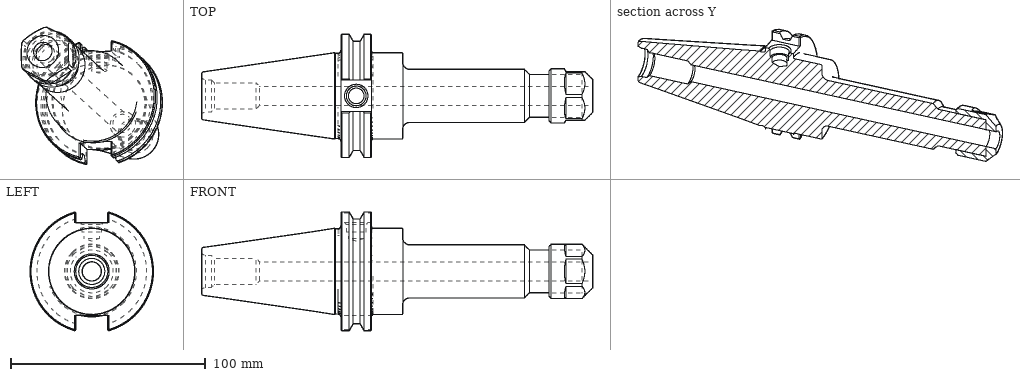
import cadquery as cq
import math

OVERALL_LENGTH = 200.85

GAUGE_DIAMETER = 44.45
TAPER_PER_LENGTH = 7 / 24
TAPER_LENGTH = 68.25
TAPER_END_FILLET = 1.2
RELIEF_DIAMETER = 43.94
RELIEF_STEP_LENGTH = 0.5
RELIEF_FILLET = 1.4
TAPER_START = -TAPER_LENGTH

FLANGE_DIAMETER = 63.5
FLANGE_START = 3.175
FLANGE_END = 19.05
FLANGE_CHAMFER = 0.6
FLANGE_CENTER = (FLANGE_START + FLANGE_END) / 2
GROOVE_DIAMETER = 56.36
GROOVE_CENTER = 11.35
GROOVE_BOTTOM_WIDTH = 3.6
GROOVE_FLANK_ANGLE = 30.0

BODY_DIAMETER = GAUGE_DIAMETER
BODY_START_FILLET = 0.7
BODY_END = 35.0
BODY_END_ROUND = 0.5
NECK_DIAMETER = 27.43
NECK_FILLET = 3.5
NECK_END = 97.4
SPINDLE_DIAMETER = 22.0

SLOT_WIDTH = 16.26
SLOT_EDGE_CHAMFER = 0.6
UPPER_SLOT_HEIGHT = 25.0
LOWER_SLOT_HEIGHT = 22.6

POCKET_MOUTH_DIAMETER = 12.0
POCKET_SEAT_DIAMETER = 10.13
POCKET_SEAT_DEPTH = 4.7
POCKET_HOLE_DIAMETER = 8.0
POCKET_HOLE_DEPTH = 8.0
DRILL_POINT_ANGLE = 140.0

BORE_MOUTH_DIAMETER = 18.0
BORE_MOUTH_DEPTH = 2.0
PILOT_BORE_DIAMETER = 16.46
PILOT_BORE_DEPTH = 5.0
THREAD_BORE_DIAMETER = 13.39
THREAD_BORE_DEPTH = 28.0
THROUGH_BORE_DIAMETER = 9.73

NUT_DIAMETER = 28.0
NUT_START = 110.0
NUT_END = OVERALL_LENGTH - TAPER_LENGTH
NUT_BACK_CHAMFER = 1.2
NUT_FACE_DIAMETER = 16.8
NUT_ACROSS_FLATS = 25.0
NUT_FLATS_START = 118.8
FLAT_RUNOUT_ANGLE = 30.0
FLAT_COUNT = 6
NUT_CONE_START = NUT_END - (NUT_DIAMETER - NUT_FACE_DIAMETER) / 2
SPINDLE_END = NUT_CONE_START

CLEARANCE = 1.0


def revolve_about_axis(profile):
    """Turn a closed (x, radius) profile about the tool axis."""
    return profile.close().revolve(360, (0, 0, 0), (1, 0, 0))


def fillet_middle(corner_x, corner_radius, fillet, x_side, radial_side):
    """Middle point of the fillet between a cylinder and a flat face.

    The sides are +1 or -1 and tell which way the arc lies from the corner.
    """
    gap = fillet * (1 - math.sqrt(0.5))
    return (corner_x + x_side * gap, corner_radius + radial_side * gap)


def make_taper():
    small_radius = GAUGE_DIAMETER / 2 - TAPER_PER_LENGTH * TAPER_LENGTH / 2
    profile = cq.Workplane("XY").polyline([
        (TAPER_START, 0),
        (TAPER_START, small_radius),
        (0, GAUGE_DIAMETER / 2),
        (0, 0),
    ])
    return revolve_about_axis(profile).faces("<X").edges().fillet(TAPER_END_FILLET)


def make_flange_and_body():
    gauge_radius = GAUGE_DIAMETER / 2
    relief_radius = RELIEF_DIAMETER / 2
    flange_radius = FLANGE_DIAMETER / 2
    groove_radius = GROOVE_DIAMETER / 2
    body_radius = BODY_DIAMETER / 2
    neck_radius = NECK_DIAMETER / 2
    spindle_radius = SPINDLE_DIAMETER / 2

    half_bottom = GROOVE_BOTTOM_WIDTH / 2
    flank_run = (flange_radius - groove_radius) * math.tan(math.radians(GROOVE_FLANK_ANGLE))
    half_top = half_bottom + flank_run

    profile = (
        cq.Workplane("XY")
        .moveTo(0, 0)
        .lineTo(0, gauge_radius)
        .lineTo(RELIEF_STEP_LENGTH, relief_radius)
        .lineTo(FLANGE_START - RELIEF_FILLET, relief_radius)
        .threePointArc(
            fillet_middle(FLANGE_START, relief_radius, RELIEF_FILLET, -1, 1),
            (FLANGE_START, relief_radius + RELIEF_FILLET),
        )
        .lineTo(FLANGE_START, flange_radius - FLANGE_CHAMFER)
        .lineTo(FLANGE_START + FLANGE_CHAMFER, flange_radius)
        .lineTo(GROOVE_CENTER - half_top, flange_radius)
        .lineTo(GROOVE_CENTER - half_bottom, groove_radius)
        .lineTo(GROOVE_CENTER + half_bottom, groove_radius)
        .lineTo(GROOVE_CENTER + half_top, flange_radius)
        .lineTo(FLANGE_END - FLANGE_CHAMFER, flange_radius)
        .lineTo(FLANGE_END, flange_radius - FLANGE_CHAMFER)
        .lineTo(FLANGE_END, body_radius + BODY_START_FILLET)
        .threePointArc(
            fillet_middle(FLANGE_END, body_radius, BODY_START_FILLET, 1, 1),
            (FLANGE_END + BODY_START_FILLET, body_radius),
        )
        .lineTo(BODY_END - BODY_END_ROUND, body_radius)
        .threePointArc(
            fillet_middle(BODY_END, body_radius, BODY_END_ROUND, -1, -1),
            (BODY_END, body_radius - BODY_END_ROUND),
        )
        .lineTo(BODY_END, neck_radius + NECK_FILLET)
        .threePointArc(
            fillet_middle(BODY_END, neck_radius, NECK_FILLET, 1, 1),
            (BODY_END + NECK_FILLET, neck_radius),
        )
        .lineTo(NECK_END, neck_radius)
        .lineTo(NECK_END + neck_radius - spindle_radius, spindle_radius)
        .lineTo(SPINDLE_END, spindle_radius)
        .lineTo(SPINDLE_END, 0)
    )
    return revolve_about_axis(profile)


def make_bore():
    mouth = BORE_MOUTH_DIAMETER / 2
    pilot = PILOT_BORE_DIAMETER / 2
    thread = THREAD_BORE_DIAMETER / 2
    through = THROUGH_BORE_DIAMETER / 2
    mouth_end = TAPER_START + BORE_MOUTH_DEPTH
    pilot_end = TAPER_START + PILOT_BORE_DEPTH
    thread_end = TAPER_START + THREAD_BORE_DEPTH
    profile = cq.Workplane("XY").polyline([
        (TAPER_START, 0),
        (TAPER_START, mouth),
        (mouth_end, pilot),
        (pilot_end, pilot),
        (pilot_end + pilot - thread, thread),
        (thread_end, thread),
        (thread_end + thread - through, through),
        (SPINDLE_END, through),
        (SPINDLE_END, 0),
    ])
    return revolve_about_axis(profile)


def make_drive_slot(floor_height):
    """Cutter for a slot across the +Z side of the flange, with its wall edges chamfered."""
    half = SLOT_WIDTH / 2
    flare = half + SLOT_EDGE_CHAMFER
    top = FLANGE_DIAMETER / 2 + CLEARANCE
    rim_corner = math.sqrt((FLANGE_DIAMETER / 2) ** 2 - flare ** 2)
    flare_start = rim_corner - SLOT_EDGE_CHAMFER
    flare_top = half + top - flare_start

    across = (
        cq.Workplane("YZ", origin=(FLANGE_START, 0, 0))
        .polyline([
            (-half, floor_height),
            (half, floor_height),
            (half, flare_start),
            (flare_top, top),
            (-flare_top, top),
            (-half, flare_start),
        ])
        .close()
        .extrude(FLANGE_END - FLANGE_START)
    )

    def face_flare(face_x, inward):
        """Wedge that chamfers both walls where they meet one face of the flange."""
        inner_x = face_x + inward * SLOT_EDGE_CHAMFER
        return (
            cq.Workplane("XY", origin=(0, 0, floor_height))
            .polyline([(face_x, -flare), (face_x, flare), (inner_x, half), (inner_x, -half)])
            .close()
            .extrude(top - floor_height)
        )

    return across.union(face_flare(FLANGE_START, 1)).union(face_flare(FLANGE_END, -1))


def make_pocket():
    """Cutter for the drilled hole with a chamfered counterbore in the upper slot floor."""
    mouth = POCKET_MOUTH_DIAMETER / 2
    seat = POCKET_SEAT_DIAMETER / 2
    hole = POCKET_HOLE_DIAMETER / 2
    floor = UPPER_SLOT_HEIGHT
    seat_height = floor - POCKET_SEAT_DEPTH
    hole_end = floor - POCKET_HOLE_DEPTH
    point_length = hole / math.tan(math.radians(DRILL_POINT_ANGLE / 2))
    return (
        cq.Workplane("XZ", origin=(FLANGE_CENTER, 0, 0))
        .polyline([
            (0, floor),
            (mouth, floor),
            (seat, floor - (mouth - seat)),
            (seat, seat_height),
            (hole, seat_height),
            (hole, hole_end),
            (0, hole_end - point_length),
        ])
        .close()
        .revolve(360, (0, 0, 0), (0, 1, 0))
    )


def make_holder():
    holder = make_taper().union(make_flange_and_body())
    lower_slot = make_drive_slot(LOWER_SLOT_HEIGHT).rotate((0, 0, 0), (1, 0, 0), 180)
    return (
        holder
        .cut(make_bore())
        .cut(make_drive_slot(UPPER_SLOT_HEIGHT))
        .cut(lower_slot)
        .cut(make_pocket())
    )


def make_nut_blank():
    """Round nut fitting over the spindle, with the through bore in its front wall."""
    outer = NUT_DIAMETER / 2
    seat = SPINDLE_DIAMETER / 2
    bore = THROUGH_BORE_DIAMETER / 2
    profile = cq.Workplane("XY").polyline([
        (NUT_START, seat),
        (NUT_START, outer - NUT_BACK_CHAMFER),
        (NUT_START + NUT_BACK_CHAMFER, outer),
        (NUT_CONE_START, outer),
        (NUT_END, NUT_FACE_DIAMETER / 2),
        (NUT_END, bore),
        (SPINDLE_END, bore),
        (SPINDLE_END, seat),
    ])
    return revolve_about_axis(profile)


def make_flat_cutter():
    """Cutter for one wrench flat, with a steep runout behind it."""
    flat = NUT_ACROSS_FLATS / 2
    top = NUT_DIAMETER / 2 + CLEARANCE
    runout = (top - flat) * math.tan(math.radians(FLAT_RUNOUT_ANGLE))
    return (
        cq.Workplane("XY")
        .polyline([
            (NUT_FLATS_START, flat),
            (NUT_END, flat),
            (NUT_END, top),
            (NUT_FLATS_START - runout, top),
        ])
        .close()
        .extrude(NUT_DIAMETER / 2, both=True)
    )


def make_nut():
    nut = make_nut_blank()
    flat_cutter = make_flat_cutter()
    for index in range(FLAT_COUNT):
        nut = nut.cut(flat_cutter.rotate((0, 0, 0), (1, 0, 0), index * 360 / FLAT_COUNT))
    return nut


holder = make_holder()
nut = make_nut()
result = cq.Compound.makeCompound([holder.val(), nut.val()])